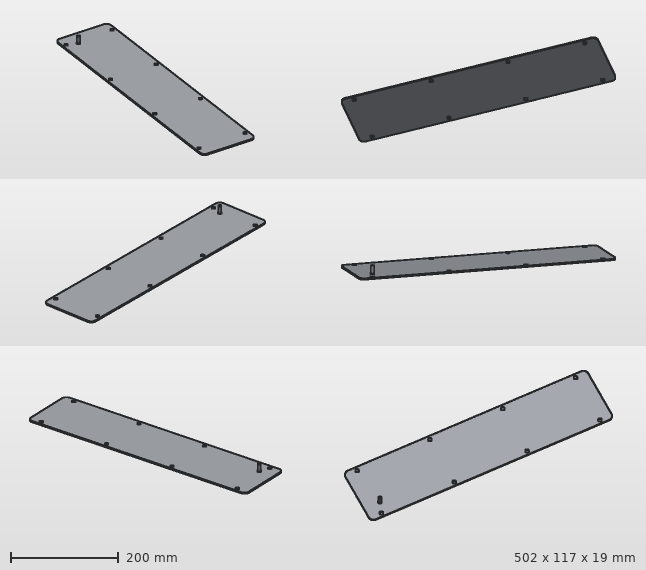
import cadquery as cq

length = 502.0
width = 117.0
thickness = 3.0
corner_radius = 10.0

hole_diameter = 7.0
hole_pitch = 150.5
holes_per_row = 4
row_count = 2
row_spacing = 101.5

total_height = 19.0
stud_x = -218.0
stud_y = -28.5
stud_diameter = 6.0
stud_chamfer = 0.5
collar_diameter = 7.5
collar_height = 1.0


def make_plate():
    """Flat plate with rounded corners, resting on Z = 0."""
    plate = cq.Workplane("XY").box(length, width, thickness, centered=(True, True, False))
    return plate.edges("|Z").fillet(corner_radius)


def make_holes():
    """Through cutters for both rows of mounting holes."""
    hole_centers = cq.Workplane("XY").rarray(hole_pitch, row_spacing, holes_per_row, row_count)
    return hole_centers.circle(hole_diameter / 2).extrude(thickness)


def make_stud():
    """Stud with a chamfered tip and a thin collar at its foot."""
    base = cq.Workplane("XY", origin=(stud_x, stud_y, thickness))
    shank = base.circle(stud_diameter / 2).extrude(total_height - thickness)
    shank = shank.faces(">Z").chamfer(stud_chamfer)
    collar = base.circle(collar_diameter / 2).extrude(collar_height)
    return shank.union(collar)


result = make_plate().cut(make_holes()).union(make_stud())